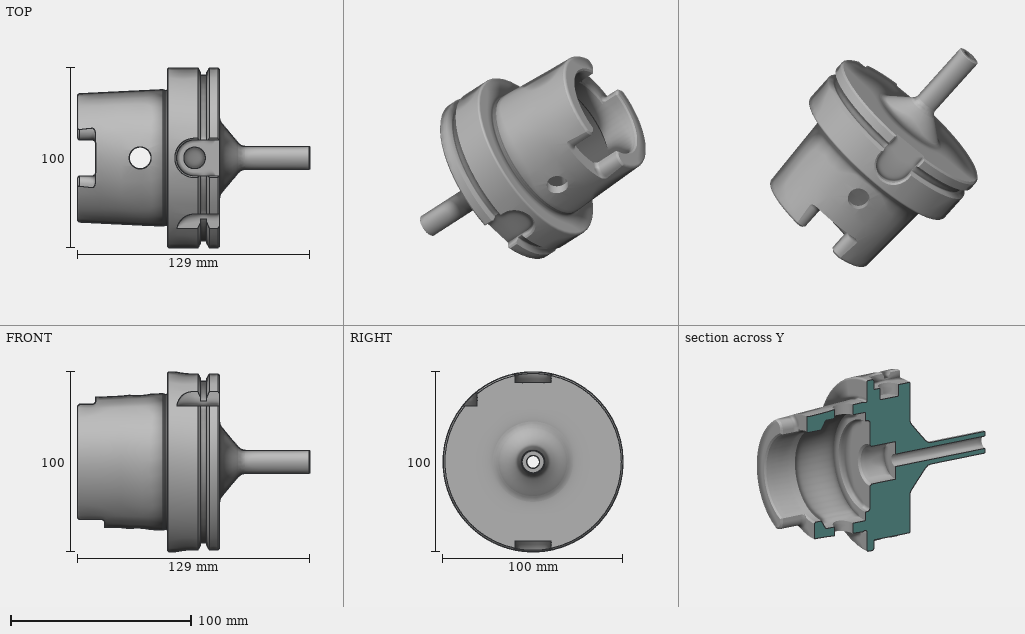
import cadquery as cq
import math

total_length = 129.0
flange_face_x = 50.0
flange_width = 28.9
flange_end_x = flange_face_x + flange_width

taper_mouth_radius = 35.6
taper_end_radius = 37.9
taper_end_gap = 2.5
mouth_round = 1.5

relief_depth = 0.4
relief_start_gap = 1.5
relief_fillet_gap = 0.6
relief_fillet = 0.8
relief_face_radius = 39.5
relief_face_angle = 8.0

flange_radius = 49.99
flange_round = 1.2
flange_chamfer = 1.0
groove_offset = 20.0
groove_half_mouth = 3.2
groove_half_floor = 1.7
groove_flank_angle = 30.0
groove_depth = 4.0

tip_radius = 6.5
tip_chamfer = 0.4
cone_base_radius = 20.5
cone_angle = 50.0
cone_fillet = 5.0

bore_radius = 26.5
bore_chamfer = 0.9
bore_length = 20.0
clamp_radius = 31.5
clamp_angle = 60.0
clamp_end_x = 49.0
bore_floor_x = 52.2
bore_floor_fillet = 1.8
thread_radius = 10.8
thread_mouth_radius = 12.0
thread_length = 16.8
coolant_radius = 3.5

key_width = 20.0
drive_depth_top = 10.0
drive_depth_bottom = 15.1
drive_land_height = 32.0
drive_corner_radius = 5.0
drive_floor_fillet = 1.9
drive_mouth_chamfer = 1.0

key_floor_height = 44.0
key_centre_x = flange_face_x + 15.0
key_chamfer = 0.97
notch_offset = key_floor_height / math.sqrt(2)
cross_hole_diameter = 12.0
access_hole_x = 34.8
key_hole_depth = 6.7


def revolve_profile(profile):
    """Turn a closed half-profile drawn as (x, radius) about the X axis."""
    return profile.close().revolve(360, (0, 0, 0), (1, 0, 0))


def corner_shift(radius):
    """Distance, along each side, from a square corner to the middle of its rounding arc."""
    return radius * (1 - math.sqrt(0.5))


def turned_body():
    """Taper, undercut and flange with the gripper groove."""
    taper_end_x = flange_face_x - taper_end_gap
    relief_radius = taper_end_radius - relief_depth
    tilt = math.radians(relief_face_angle)
    fillet_x = flange_face_x - relief_fillet_gap
    turn = math.pi / 2 + tilt
    fillet_centre_radius = relief_radius + relief_fillet
    fillet_mid = (
        fillet_x + relief_fillet * math.sin(turn / 2),
        fillet_centre_radius - relief_fillet * math.cos(turn / 2),
    )
    fillet_end = (
        fillet_x + relief_fillet * math.sin(turn),
        fillet_centre_radius - relief_fillet * math.cos(turn),
    )
    round_shift = corner_shift(flange_round)
    groove_x = flange_face_x + groove_offset
    flank_depth = (groove_half_mouth - groove_half_floor) / math.tan(math.radians(groove_flank_angle))
    flank_radius = flange_radius - flank_depth
    groove_radius = flange_radius - groove_depth
    profile = (
        cq.Workplane("XY")
        .moveTo(0, 0)
        .lineTo(0, taper_mouth_radius)
        .lineTo(taper_end_x, taper_end_radius)
        .lineTo(flange_face_x - relief_start_gap, relief_radius)
        .lineTo(fillet_x, relief_radius)
        .threePointArc(fillet_mid, fillet_end)
        .lineTo(flange_face_x, relief_face_radius)
        .lineTo(flange_face_x, flange_radius - flange_round)
        .threePointArc(
            (flange_face_x + round_shift, flange_radius - round_shift),
            (flange_face_x + flange_round, flange_radius),
        )
        .lineTo(groove_x - groove_half_mouth, flange_radius)
        .lineTo(groove_x - groove_half_floor, flank_radius)
        .lineTo(groove_x - groove_half_floor, groove_radius)
        .lineTo(groove_x + groove_half_floor, groove_radius)
        .lineTo(groove_x + groove_half_floor, flank_radius)
        .lineTo(groove_x + groove_half_mouth, flange_radius)
        .lineTo(flange_end_x, flange_radius)
        .lineTo(flange_end_x, 0)
    )
    body = revolve_profile(profile)
    body = body.faces("<X").edges().fillet(mouth_round)
    return body.faces(">X").edges().chamfer(flange_chamfer)


def cone_and_tip():
    """Cone on the flange end running into the cylindrical tip."""
    cone_length = (cone_base_radius - tip_radius) / math.tan(math.radians(cone_angle))
    root_radius = cone_base_radius + 2 * cone_fillet
    tip_start_x = flange_end_x + cone_length
    profile = (
        cq.Workplane("XY")
        .moveTo(flange_face_x, 0)
        .lineTo(flange_face_x, root_radius)
        .lineTo(flange_end_x, root_radius)
        .lineTo(flange_end_x, cone_base_radius)
        .lineTo(tip_start_x, tip_radius)
        .lineTo(total_length, tip_radius)
        .lineTo(total_length, 0)
    )
    nose = revolve_profile(profile)
    corners = cq.selectors.BoxSelector(
        (flange_end_x - 0.1, -cone_base_radius - 1.3, -cone_base_radius - 1.3),
        (tip_start_x + 0.1, cone_base_radius + 1.3, cone_base_radius + 1.3),
        boundingbox=True,
    )
    nose = nose.edges("%CIRCLE").edges(corners).fillet(cone_fillet)
    return nose.faces(">X").edges().chamfer(tip_chamfer)


def interior():
    """Bore, clamping undercut, thread bore and coolant hole."""
    clamp_start_x = bore_length + (clamp_radius - bore_radius) / math.tan(math.radians(clamp_angle))
    fillet_shift = corner_shift(bore_floor_fillet)
    thread_chamfer = thread_mouth_radius - thread_radius
    thread_end_x = bore_floor_x + thread_length
    profile = (
        cq.Workplane("XY")
        .moveTo(0, 0)
        .lineTo(0, bore_radius + bore_chamfer)
        .lineTo(bore_chamfer, bore_radius)
        .lineTo(bore_length, bore_radius)
        .lineTo(clamp_start_x, clamp_radius)
        .lineTo(clamp_end_x, clamp_radius)
        .lineTo(clamp_end_x, bore_radius)
        .lineTo(bore_floor_x - bore_floor_fillet, bore_radius)
        .threePointArc(
            (bore_floor_x - fillet_shift, bore_radius - fillet_shift),
            (bore_floor_x, bore_radius - bore_floor_fillet),
        )
        .lineTo(bore_floor_x, thread_mouth_radius)
        .lineTo(bore_floor_x + thread_chamfer, thread_radius)
        .lineTo(thread_end_x, thread_radius)
        .lineTo(thread_end_x, coolant_radius)
        .lineTo(total_length, coolant_radius)
        .lineTo(total_length, 0)
    )
    return revolve_profile(profile)


def bore_edge_chamfer(depth):
    """Cutter that breaks the bore edge on the floor of the upper drive slot."""
    ring = revolve_profile(
        cq.Workplane("XY")
        .moveTo(depth, 0)
        .lineTo(depth, bore_radius + bore_chamfer)
        .lineTo(depth + bore_chamfer, bore_radius)
        .lineTo(depth + bore_chamfer, 0)
    )
    slot_span = cq.Workplane("XY").box(total_length, key_width, flange_radius, centered=(False, True, False))
    return ring.intersect(slot_span)


def drive_slot(depth):
    """Cutter for the upper drive slot: straight walls rounding out onto the flat of the dogs."""
    half_width = key_width / 2
    corner_start = drive_land_height - drive_corner_radius
    arc_shift = corner_shift(drive_corner_radius)
    reach = flange_radius
    profile = (
        cq.Workplane("YZ")
        .moveTo(-half_width, 0)
        .lineTo(-half_width, corner_start)
        .threePointArc(
            (-half_width - arc_shift, drive_land_height - arc_shift),
            (-half_width - drive_corner_radius, drive_land_height),
        )
        .lineTo(-reach, drive_land_height)
        .lineTo(-reach, reach)
        .lineTo(reach, reach)
        .lineTo(reach, drive_land_height)
        .lineTo(half_width + drive_corner_radius, drive_land_height)
        .threePointArc(
            (half_width + arc_shift, drive_land_height - arc_shift),
            (half_width, corner_start),
        )
        .lineTo(half_width, 0)
        .close()
    )
    slot = profile.extrude(depth)
    slot = slot.faces(">X").edges().fillet(drive_floor_fillet)
    mouth = profile.toPending().offset2D(drive_mouth_chamfer).extrude(drive_mouth_chamfer, taper=45)
    return slot.union(mouth).union(bore_edge_chamfer(depth))


def key_cutter(centre_y, floor_height):
    """Round-ended slot, open at the flange end, reaching up from floor_height."""
    run_out = flange_end_x - key_centre_x + 1.3
    height = flange_radius
    round_end = cq.Workplane("XY").center(key_centre_x, centre_y).circle(key_width / 2).extrude(height)
    straight = (
        cq.Workplane("XY")
        .center(key_centre_x + run_out / 2, centre_y)
        .rect(run_out, key_width)
        .extrude(height)
    )
    return round_end.union(straight).translate((0, 0, floor_height))


def flipped(shape):
    """Same shape on the opposite side, half a turn about X."""
    return shape.rotate((0, 0, 0), (1, 0, 0), 180)


def chamfer_keyway(shape):
    """Break the edges between the walls of the upper keyway and the flange cylinder."""
    half_width = key_width / 2 + 0.1
    lowest_rim = math.sqrt(flange_radius**2 - half_width**2)
    rim_zone = cq.selectors.BoxSelector(
        (flange_face_x, -half_width, lowest_rim),
        (flange_end_x, half_width, flange_radius + 0.1),
        boundingbox=True,
    )
    return shape.edges(rim_zone).chamfer(key_chamfer)


def cut_keyway(shape):
    """Cut the upper flange keyway and break its rim."""
    return chamfer_keyway(shape.cut(key_cutter(0, key_floor_height)))


body = cut_keyway(turned_body())
body = flipped(cut_keyway(flipped(body)))
result = body.union(cone_and_tip()).cut(interior())

result = result.cut(drive_slot(drive_depth_top)).cut(flipped(drive_slot(drive_depth_bottom)))

result = result.cut(key_cutter(-notch_offset - key_width / 2, notch_offset))

access_hole = (
    cq.Workplane("XY", origin=(access_hole_x, 0, 0))
    .circle(cross_hole_diameter / 2)
    .extrude(flange_radius, both=True)
)
result = result.cut(access_hole)

key_hole = (
    cq.Workplane("XY", origin=(key_centre_x, 0, key_floor_height))
    .circle(cross_hole_diameter / 2)
    .extrude(-key_hole_depth)
)
result = result.cut(key_hole)